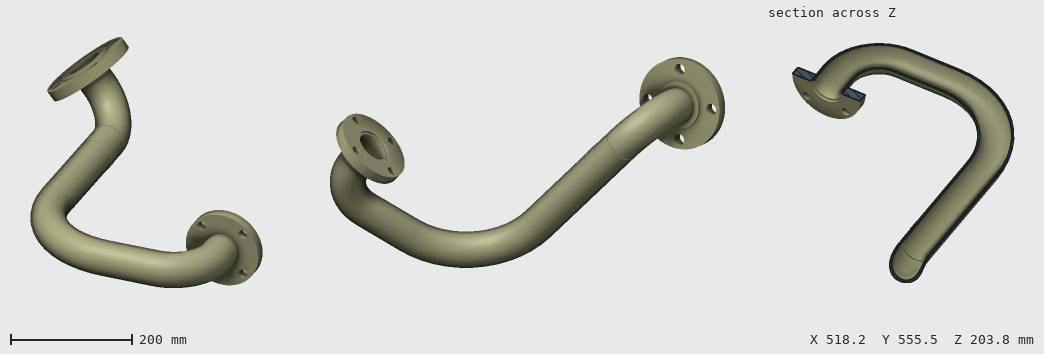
import cadquery as cq
import math

PIPE_DIAMETER = 60.0
PIPE_RADIUS = PIPE_DIAMETER / 2
WALL = 4.0
BORE_RADIUS = PIPE_RADIUS - WALL

ELBOW_RADIUS = 76.0
BEND_RADIUS = 152.5
LONG_LEG = 219.5
SHORT_LEG = 92.0
ROOT_GAP = 1.5
INLET_TILT = 39.0
STUB_LENGTH = 39.0

INLET_FLANGE_RADIUS = 76.0
INLET_FLANGE_THICKNESS = 19.0
INLET_FACE_DISTANCE = 41.0
RAISED_FACE_RADIUS = 46.0
RAISED_FACE_HEIGHT = 1.5
HUB_RADIUS = 39.5
HUB_HEIGHT = 5.0
INLET_BOLT_CIRCLE_DIAMETER = 120.5
INLET_BOLT_HOLE_RADIUS = 9.5

OUTLET_FLANGE_RADIUS = 65.0
OUTLET_FLANGE_THICKNESS = 18.5
OUTLET_FACE_DISTANCE = 43.0
OUTLET_BOLT_CIRCLE_DIAMETER = 105.0
OUTLET_BOLT_HOLE_DIAMETER = 15.0
BOLT_COUNT = 4

LABEL_THICKNESS = 0.5
LABEL_WIDTH = 21.0
LABEL_END_GAP = 34.0
LABEL_SPAN = 180.0

tilt = math.radians(INLET_TILT)
inlet_axis = cq.Vector(-math.sin(tilt), 0, math.cos(tilt))
x_axis = cq.Vector(1, 0, 0)
y_axis = cq.Vector(0, 1, 0)

bend_start = cq.Vector(0, 0, 0)
bend_end = cq.Vector(BEND_RADIUS, -BEND_RADIUS, 0)
long_leg_end = y_axis * LONG_LEG
inlet_elbow_start = long_leg_end + y_axis * ROOT_GAP
inlet_elbow_end = inlet_elbow_start + y_axis * ELBOW_RADIUS + inlet_axis * ELBOW_RADIUS
short_leg_end = bend_end + x_axis * SHORT_LEG
outlet_elbow_end = short_leg_end + x_axis * ELBOW_RADIUS + y_axis * ELBOW_RADIUS


def tube(start, direction, length):
    """Straight pipe from start along direction."""
    plane = cq.Plane(start, normal=direction)
    return cq.Workplane(plane).circle(PIPE_RADIUS).circle(BORE_RADIUS).extrude(length)


def quarter_bend(start, direction, turn_towards, radius):
    """Pipe that leaves start along direction and turns 90 degrees towards turn_towards."""
    plane = cq.Plane(start, xDir=turn_towards, normal=direction)
    section = cq.Workplane(plane).circle(PIPE_RADIUS).circle(BORE_RADIUS)
    return section.revolve(90, (radius, 0, 0), (radius, 1, 0))


def flange_plane(elbow_end, axis, side_direction, distance):
    """Plane of a flange's back side, facing out along the pipe axis."""
    return cq.Plane(elbow_end + axis * distance, xDir=side_direction, normal=axis)


def drill_flange(blank, plane, hub_height, depth, bolt_circle_radius, bolt_hole_radius):
    """Cut the pipe socket and the bolt holes, which straddle the flange's side direction."""
    socket = cq.Workplane(plane).workplane(offset=-hub_height).circle(PIPE_RADIUS).extrude(depth)
    bolt_holes = (
        cq.Workplane(plane)
        .polarArray(bolt_circle_radius, 180 / BOLT_COUNT, 360, BOLT_COUNT)
        .circle(bolt_hole_radius)
        .extrude(depth)
    )
    return blank.cut(socket).cut(bolt_holes)


def make_inlet_flange():
    """Slip-on flange with a hub behind it and a raised sealing face."""
    back_distance = INLET_FACE_DISTANCE - INLET_FLANGE_THICKNESS
    plane = flange_plane(inlet_elbow_end, inlet_axis, y_axis, back_distance)
    disc = cq.Workplane(plane).circle(INLET_FLANGE_RADIUS).extrude(INLET_FLANGE_THICKNESS)
    hub = cq.Workplane(plane).circle(HUB_RADIUS).extrude(-HUB_HEIGHT)
    face_height = INLET_FLANGE_THICKNESS + RAISED_FACE_HEIGHT
    raised_face = cq.Workplane(plane).circle(RAISED_FACE_RADIUS).extrude(face_height)
    blank = disc.union(hub).union(raised_face)
    depth = HUB_HEIGHT + face_height
    bolt_circle_radius = INLET_BOLT_CIRCLE_DIAMETER / 2
    return drill_flange(
        blank, plane, HUB_HEIGHT, depth, bolt_circle_radius, INLET_BOLT_HOLE_RADIUS
    )


def make_outlet_flange():
    """Plain slip-on plate flange."""
    back_distance = OUTLET_FACE_DISTANCE - OUTLET_FLANGE_THICKNESS
    plane = flange_plane(outlet_elbow_end, y_axis, x_axis, back_distance)
    disc = cq.Workplane(plane).circle(OUTLET_FLANGE_RADIUS).extrude(OUTLET_FLANGE_THICKNESS)
    bolt_circle_radius = OUTLET_BOLT_CIRCLE_DIAMETER / 2
    bolt_hole_radius = OUTLET_BOLT_HOLE_DIAMETER / 2
    return drill_flange(
        disc, plane, 0, OUTLET_FLANGE_THICKNESS, bolt_circle_radius, bolt_hole_radius
    )


def make_bent_pipe():
    """Long leg, wide bend and short leg, formed from one pipe."""
    long_leg = tube(long_leg_end, -y_axis, LONG_LEG)
    bend = quarter_bend(bend_start, -y_axis, x_axis, BEND_RADIUS)
    short_leg = tube(bend_end, x_axis, SHORT_LEG)
    return long_leg.union(bend).union(short_leg)


def make_label():
    """Thin shell on the pipe's outer surface, from the inlet tilt round to the +X side."""
    middle = long_leg_end - y_axis * (LABEL_END_GAP + LABEL_WIDTH / 2)
    plane = cq.Plane(middle, xDir=inlet_axis, normal=inlet_axis.cross(y_axis))
    return (
        cq.Workplane(plane)
        .moveTo(PIPE_RADIUS + LABEL_THICKNESS / 2, 0)
        .rect(LABEL_THICKNESS, LABEL_WIDTH)
        .revolve(LABEL_SPAN, (0, 0, 0), (0, 1, 0))
    )


def make_stubs():
    """The two short pipes between the elbows and the flanges."""
    ends = [(inlet_elbow_end, inlet_axis), (outlet_elbow_end, y_axis)]
    return [tube(start, axis, STUB_LENGTH).val() for start, axis in ends]


def make_elbows():
    """The two tight elbows at the ends of the bent pipe."""
    turns = [(inlet_elbow_start, y_axis, inlet_axis), (short_leg_end, x_axis, y_axis)]
    return [quarter_bend(start, axis, turn, ELBOW_RADIUS).val() for start, axis, turn in turns]


bent_pipe = make_bent_pipe()
label = make_label()
elbows = make_elbows()
stubs = make_stubs()
inlet_flange = make_inlet_flange()
outlet_flange = make_outlet_flange()

result = cq.Compound.makeCompound(
    [bent_pipe.val(), label.val(), *elbows, *stubs, inlet_flange.val(), outlet_flange.val()]
)